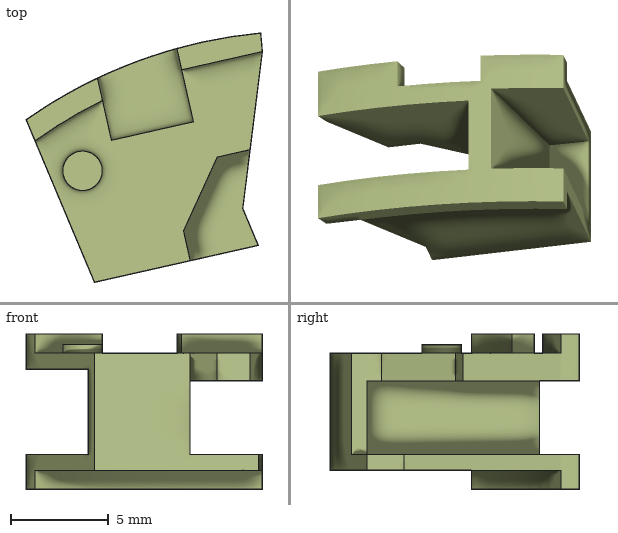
import cadquery as cq
import math

TILT = 12.7

RIM_HEIGHT = 0.98
LOWER_FLOOR = 1.8
RIGHT_CEILING = 5.55
LEFT_CEILING = 6.15
RECESS_FLOOR = 6.59
DECK = 6.97
PEG_TOP = 7.41
TOTAL_HEIGHT = DECK + RIM_HEIGHT

ARC_X = 7.95
ARC_Y = -14.23
OUTER_RADIUS = 25.0
RIM_THICKNESS = 1.15
INNER_RADIUS = OUTER_RADIUS - RIM_THICKNESS
RIM_CROWN = ARC_Y + INNER_RADIUS

BACK_LEFT_X = -1.58
BACK_RIGHT_X = 11.1
RIGHT_TIP_X = 10.98
WAIST = (8.24, 2.01)
FRONT_WIDTH = 8.59

WEB_LEFT = 1.94
WEB_RIGHT = 3.07
WALL_WIDTH = 5.02
WALL_THICKNESS = 0.82
WALL_INNER_CORNER = 0.88

CLEARANCE_SIDE = 1.57
CLEARANCE_INNER_X = 7.54
CLEARANCE_BACK = 4.87

RECESS_LEFT = 2.45
RECESS_RIGHT = 6.75
RECESS_FRONT = 6.9

PEG_CENTER = (0.66, 5.7)
PEG_RADIUS = 1.01

FAR = 19.12


def arc_point(x, radius):
    """Point of the back arc of the given radius at local x."""
    return x, ARC_Y + math.sqrt(radius**2 - (x - ARC_X) ** 2)


def prism(points, bottom, top):
    """Straight-sided prism between two levels."""
    return cq.Workplane("XY").workplane(offset=bottom).polyline(points).close().extrude(top - bottom)


def make_block():
    """Full-height block over the whole plan outline."""
    return (
        cq.Workplane("XY")
        .lineTo(FRONT_WIDTH, 0)
        .lineTo(*WAIST)
        .lineTo(RIGHT_TIP_X, RIM_CROWN)
        .lineTo(*arc_point(BACK_RIGHT_X, OUTER_RADIUS))
        .threePointArc(arc_point(ARC_X / 2, OUTER_RADIUS), arc_point(BACK_LEFT_X, OUTER_RADIUS))
        .close()
        .extrude(TOTAL_HEIGHT)
    )


def rim_cutter(bottom, straight_start):
    """Everything in front of a rim that runs straight to the right of straight_start."""
    left_end = -FAR / 3
    outline = (
        cq.Workplane("XY")
        .workplane(offset=bottom)
        .moveTo(left_end, -FAR)
        .lineTo(FAR, -FAR)
        .lineTo(FAR, RIM_CROWN)
        .lineTo(straight_start, RIM_CROWN)
    )
    if straight_start < ARC_X:
        outline = outline.lineTo(*arc_point(straight_start, INNER_RADIUS))
    outline = outline.threePointArc(arc_point(0, INNER_RADIUS), arc_point(left_end, INNER_RADIUS))
    return outline.close().extrude(RIM_HEIGHT)


def left_pocket():
    """Pocket open to the left and back; its front side leans slightly back."""
    points = [
        (0, WALL_THICKNESS),
        (WEB_LEFT, WALL_INNER_CORNER),
        (WEB_LEFT, FAR),
        (-FAR, FAR),
        (-FAR, WALL_THICKNESS),
    ]
    return prism(points, LOWER_FLOOR, LEFT_CEILING)


def right_pocket():
    """Pocket open to the right and back, stepping out round the front wall."""
    points = [
        (WALL_WIDTH, -FAR),
        (WALL_WIDTH, WALL_THICKNESS),
        (WEB_RIGHT, WALL_THICKNESS),
        (WEB_RIGHT, FAR),
        (FAR, FAR),
        (FAR, -FAR),
    ]
    return prism(points, LOWER_FLOOR, RIGHT_CEILING)


def deck_clearance():
    """Front right corner removed from the deck."""
    points = [
        (WALL_WIDTH, -FAR),
        (WALL_WIDTH, CLEARANCE_SIDE),
        (CLEARANCE_INNER_X, CLEARANCE_BACK),
        (FAR, CLEARANCE_BACK),
        (FAR, -FAR),
    ]
    return prism(points, LOWER_FLOOR, TOTAL_HEIGHT)


def back_recess():
    """Shallow recess in the deck that also parts the upper rim."""
    points = [
        (RECESS_LEFT, RECESS_FRONT),
        (RECESS_RIGHT, RECESS_FRONT),
        (RECESS_RIGHT, FAR),
        (RECESS_LEFT, FAR),
    ]
    return prism(points, RECESS_FLOOR, TOTAL_HEIGHT)


def make_peg():
    """Low round peg on the deck."""
    return (
        cq.Workplane("XY")
        .workplane(offset=DECK)
        .center(*PEG_CENTER)
        .circle(PEG_RADIUS)
        .extrude(PEG_TOP - DECK)
    )


body = make_block()
for rim_bottom, rim_straight_start in ((0, ARC_X), (DECK, RECESS_RIGHT)):
    body = body.cut(rim_cutter(rim_bottom, rim_straight_start))
for cutter in (left_pocket(), right_pocket(), deck_clearance(), back_recess()):
    body = body.cut(cutter)
body = body.union(make_peg())

result = body.rotate((0, 0, 0), (0, 0, 1), TILT)